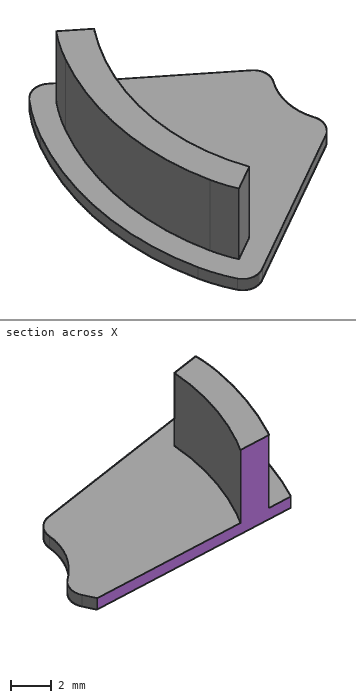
import cadquery as cq
import math

rim_margin = 1.3
plate_thickness = 0.8
total_height = 5.8
corner_radius = 1.02

wall_outer_radius = 15.04
left_end_radius = 10.0
right_end_radius = 8.7
left_tangent_angle = 228.9
right_tangent_angle = 272.0
arc_step = 1.0

inner_center = (-0.06, -1.0)
wall_inner_radius = 12.4
hub_radius = 3.42

left_angle = 215.3
left_shift = 1.55
right_angle = 281.3
right_shift = -0.87


def polar(center, radius, angle):
    """Point on a circle at an angle in degrees."""
    turn = math.radians(angle)
    return (center[0] + radius * math.cos(turn), center[1] + radius * math.sin(turn))


def line_meets_circle(center, radius, angle, shift):
    """Far crossing of a circle with the line at angle, shifted anticlockwise from the origin."""
    turn = math.radians(angle)
    direction = (math.cos(turn), math.sin(turn))
    normal = (-direction[1], direction[0])
    across = shift - center[0] * normal[0] - center[1] * normal[1]
    along = math.sqrt(radius**2 - across**2)
    return (
        center[0] + along * direction[0] + across * normal[0],
        center[1] + along * direction[1] + across * normal[1],
    )


def fan(inner_radius, margin, height):
    """Extruded fan whose outer face and straight ends lie margin outside those of the wall."""
    outer_radius = wall_outer_radius + margin
    left_line = (left_angle, left_shift - margin)
    right_line = (right_angle, right_shift + margin)

    left_center = polar((0, 0), wall_outer_radius - left_end_radius, left_tangent_angle)
    right_center = polar((0, 0), wall_outer_radius - right_end_radius, right_tangent_angle)
    left_outer = line_meets_circle(left_center, left_end_radius + margin, *left_line)
    right_outer = line_meets_circle(right_center, right_end_radius + margin, *right_line)
    left_inner = line_meets_circle(inner_center, inner_radius, *left_line)
    right_inner = line_meets_circle(inner_center, inner_radius, *right_line)

    left_tangent = polar((0, 0), outer_radius, left_tangent_angle)
    right_tangent = polar((0, 0), outer_radius, right_tangent_angle)
    middle_angle = (left_tangent_angle + right_tangent_angle) / 2
    return (
        cq.Workplane("XY")
        .moveTo(*left_tangent)
        .threePointArc(polar((0, 0), outer_radius, middle_angle), right_tangent)
        .threePointArc(
            polar(right_center, right_end_radius + margin, right_tangent_angle + arc_step),
            right_outer,
        )
        .lineTo(*right_inner)
        .threePointArc(polar(inner_center, inner_radius, middle_angle), left_inner)
        .lineTo(*left_outer)
        .threePointArc(
            polar(left_center, left_end_radius + margin, left_tangent_angle - arc_step),
            left_tangent,
        )
        .close()
        .extrude(height)
    )


plate = fan(hub_radius, rim_margin, plate_thickness)
plate_outer_radius = wall_outer_radius + rim_margin
corners = cq.selectors.StringSyntaxSelector("|Z")
for seam_angle in (left_tangent_angle, right_tangent_angle):
    seam = polar((0, 0), plate_outer_radius, seam_angle)
    corners = corners - cq.selectors.NearestToPointSelector((*seam, plate_thickness / 2))
plate = plate.edges(corners).fillet(corner_radius)

wall = fan(wall_inner_radius, 0, total_height)

result = plate.union(wall)